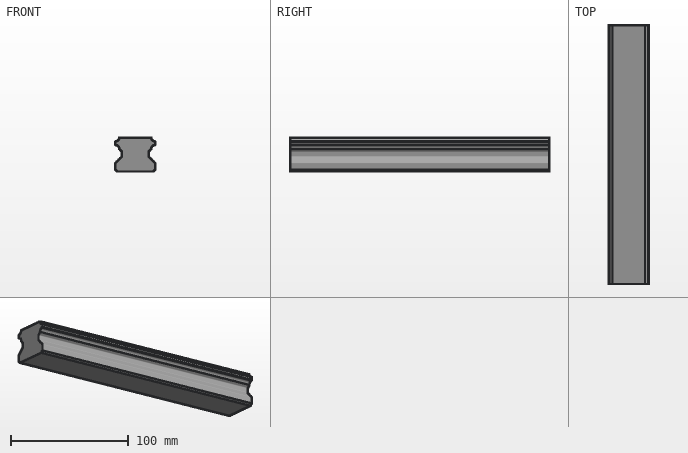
import cadquery as cq
import math

length = 220.0
height = 29.0
half_width = 17.0

lug_middle_z = 24.2
lug_half_height = 1.2
lug_chamfer = 0.5
groove_outer_offset = lug_half_height + lug_chamfer
groove_inner_offset = height - lug_middle_z
groove_inner_x = 13.7
groove_radius = 3.0

waist_x = 11.5
waist_top_z = 17.0
waist_bottom_z = 12.7
waist_corner_radius = 0.9

base_top_z = 7.3
base_chamfer = 1.7

hole_pitch = 80.0
hole_count = 3
cap_diameter = 14.0
cap_thickness = 3.0


def groove_middle(start, end):
    """Midpoint of a concave groove arc, bulging toward the rail centre line."""
    chord_x = end[0] - start[0]
    chord_z = end[1] - start[1]
    chord = math.hypot(chord_x, chord_z)
    sagitta = groove_radius - math.sqrt(groove_radius**2 - (chord / 2) ** 2)
    toward_rail_x = -abs(chord_z) / chord
    toward_lug_z = math.copysign(abs(chord_x) / chord, lug_middle_z - start[1])
    return (
        (start[0] + end[0]) / 2 + sagitta * toward_rail_x,
        (start[1] + end[1]) / 2 + sagitta * toward_lug_z,
    )


def half_profile():
    """Right half of the rail cross-section, closed along the centre line."""
    lug_root_x = half_width - lug_chamfer
    upper_inner = (groove_inner_x, lug_middle_z + groove_inner_offset)
    upper_outer = (lug_root_x, lug_middle_z + groove_outer_offset)
    lower_outer = (lug_root_x, lug_middle_z - groove_outer_offset)
    lower_inner = (groove_inner_x, lug_middle_z - groove_inner_offset)
    return (
        cq.Workplane("XZ")
        .moveTo(0, 0)
        .lineTo(half_width - base_chamfer, 0)
        .lineTo(half_width, base_chamfer)
        .lineTo(half_width, base_top_z)
        .lineTo(waist_x, waist_bottom_z)
        .lineTo(waist_x, waist_top_z)
        .lineTo(*lower_inner)
        .threePointArc(groove_middle(lower_inner, lower_outer), lower_outer)
        .lineTo(half_width, lug_middle_z - lug_half_height)
        .lineTo(half_width, lug_middle_z + lug_half_height)
        .lineTo(*upper_outer)
        .threePointArc(groove_middle(upper_outer, upper_inner), upper_inner)
        .lineTo(0, height)
        .close()
    )


def rail_body():
    """Full rail, with the waist and upper base corners rounded along its length."""
    half = half_profile().extrude(length / 2, both=True)
    rounded_corners = (
        (waist_x, waist_top_z),
        (waist_x, waist_bottom_z),
        (half_width, base_top_z),
    )
    for x, z in rounded_corners:
        half = half.edges(cq.selectors.NearestToPointSelector((x, 0, z))).fillet(waist_corner_radius)
    return half.union(half.mirror("YZ")).clean()


def hole_caps():
    """Row of round caps along the rail, their tops level with the top face."""
    return (
        cq.Workplane("XY", origin=(0, 0, height - cap_thickness))
        .rarray(1, hole_pitch, 1, hole_count)
        .circle(cap_diameter / 2)
        .extrude(cap_thickness)
    )


def add_flush_caps(rail):
    """Fill cap seats back in without merging faces, so each cap keeps its round seam."""
    caps = hole_caps()
    return rail.cut(caps).union(caps, clean=False)


result = add_flush_caps(rail_body())